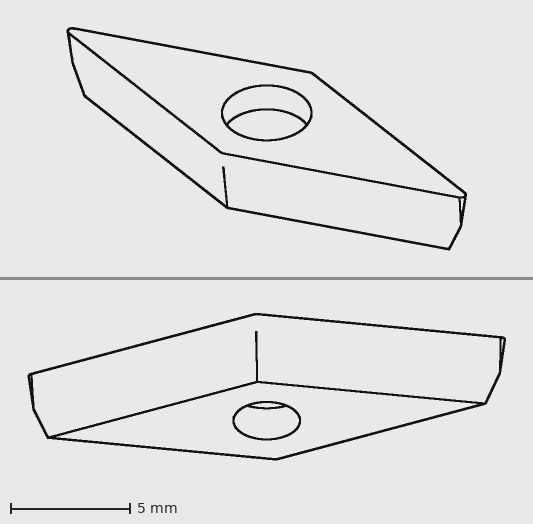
import cadquery as cq
import math

length = 19.27
width = 6.35
thickness = 3.18
tip_angle = 35.0
relief_angle = 7.0

hole_diameter = 2.8
counterbore_diameter = 3.75
counterbore_depth = 1.27
seat_depth = 1.06

half_width = width / 2
half_tip = math.radians(tip_angle / 2)
relief_slope = math.tan(math.radians(relief_angle))

tip_ratio = 1 / math.tan(half_tip)
corner_radius = (half_width * tip_ratio - length / 2) / (tip_ratio - 1)
cone_depth = corner_radius / relief_slope


def rhombus_corners(inset):
    """Corners of the rhombus with every edge moved inward by inset."""
    reach = half_width - inset
    tip = reach / math.sin(half_tip)
    blunt = reach / math.cos(half_tip)
    long_axis = (math.cos(half_tip), math.sin(half_tip))
    short_axis = (-math.sin(half_tip), math.cos(half_tip))
    placements = ((tip, long_axis), (blunt, short_axis), (-tip, long_axis), (-blunt, short_axis))
    return [(distance * axis[0], distance * axis[1]) for distance, axis in placements]


def tapered_body():
    bottom_inset = thickness * relief_slope
    return (
        cq.Workplane("XY")
        .polyline(rhombus_corners(bottom_inset)).close()
        .workplane(offset=thickness)
        .polyline(rhombus_corners(0)).close()
        .loft(ruled=True)
    )


def corner_trim(corner, center):
    """Material outside the relief cone that rounds one corner."""
    edge_angle = math.radians(tip_angle)
    normals = ((0, 1), (-math.sin(edge_angle), math.cos(edge_angle)))
    tangent_points = []
    for normal in normals:
        toward_edge = (corner[0] - center[0]) * normal[0] + (corner[1] - center[1]) * normal[1]
        tangent_points.append((center[0] + toward_edge * normal[0], center[1] + toward_edge * normal[1]))
    kite = (
        cq.Workplane("XY", origin=(0, 0, thickness))
        .polyline([center, tangent_points[0], corner, tangent_points[1]]).close()
        .extrude(-cone_depth)
    )
    cone = cq.Solid.makeCone(
        corner_radius, 0, cone_depth, pnt=cq.Vector(*center, thickness), dir=cq.Vector(0, 0, -1)
    )
    return kite.cut(cq.Workplane(cone))


def screw_hole():
    """Through hole with a counterbore and a convex seat that blends tangentially into the hole."""
    hole_radius = hole_diameter / 2
    bore_radius = counterbore_diameter / 2
    wall_bottom = thickness - counterbore_depth
    seat_bottom = wall_bottom - seat_depth
    seat_radius = ((bore_radius - hole_radius) ** 2 + seat_depth ** 2) / (2 * (bore_radius - hole_radius))
    seat_sweep = math.asin(seat_depth / seat_radius) / 2
    seat_middle = (
        hole_radius + seat_radius * (1 - math.cos(seat_sweep)),
        seat_bottom + seat_radius * math.sin(seat_sweep),
    )
    return (
        cq.Workplane("XZ")
        .moveTo(0, 0)
        .lineTo(hole_radius, 0)
        .lineTo(hole_radius, seat_bottom)
        .threePointArc(seat_middle, (bore_radius, wall_bottom))
        .lineTo(bore_radius, thickness)
        .lineTo(0, thickness)
        .close()
        .revolve(360, (0, 0, 0), (0, 1, 0))
    )


result = tapered_body()
for corner, center in list(zip(rhombus_corners(0), rhombus_corners(corner_radius)))[:2]:
    trim = corner_trim(corner, center)
    result = result.cut(trim).cut(trim.rotate((0, 0, 0), (0, 0, 1), 180))
result = result.cut(screw_hole())